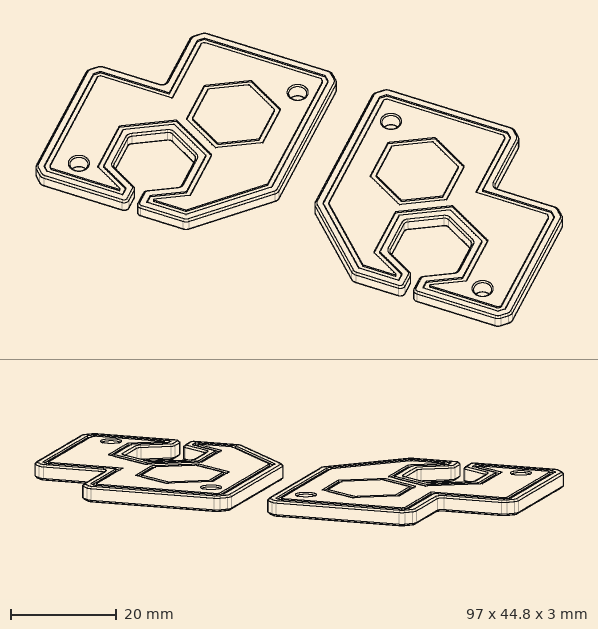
import cadquery as cq
import math

total_width = 97.0
plate_size = 44.8
thickness = 3.0

notch_size = 15.0
corner_bevel = 1.9
long_bevel = 13.3
bevel_radius = 1.5
notch_radius = 1.0

opening_x = 20.4
opening_y = 11.6
opening_flats = 13.8
slot_width = 1.8
opening_radius = 1.0

edge_chamfer = 0.4

groove_width = 1.0
groove_depth = 0.4
groove_inset = 1.6
ring_x = 29.8
ring_y = 27.9
ring_outer_flats = 15.5

hole_diameter = 3.4
hole_chamfer = 0.3
hole_places = [(7.4, 5.6), (39.0, 37.4)]

HEXAGON_ANGLE = math.radians(30)


def hexagon_reach(flats):
    """Distance from the centre of a hexagon to its vertices."""
    return flats / 2 / math.cos(HEXAGON_ANGLE)


slot_left = opening_x - slot_width / 2
slot_right = opening_x + slot_width / 2
notch_y = plate_size - notch_size
opening_half = opening_flats / 2
opening_reach = hexagon_reach(opening_flats)
slot_top = opening_y - opening_reach + slot_width / 2 * math.tan(HEXAGON_ANGLE)

right_corners = [
    (plate_size - long_bevel, 0),
    (plate_size, long_bevel),
    (plate_size, plate_size - corner_bevel),
    (plate_size - corner_bevel, plate_size),
    (notch_size + corner_bevel, plate_size),
    (notch_size, plate_size - corner_bevel),
]
notch_corner = (notch_size, notch_y)
left_corners = [
    (corner_bevel, notch_y),
    (0, notch_y - corner_bevel),
    (0, corner_bevel),
    (corner_bevel, 0),
]
opening_corners = [
    (slot_left, 0),
    (slot_left, slot_top),
    (opening_x - opening_half, opening_y - opening_reach / 2),
    (opening_x - opening_half, opening_y + opening_reach / 2),
    (opening_x, opening_y + opening_reach),
    (opening_x + opening_half, opening_y + opening_reach / 2),
    (opening_x + opening_half, opening_y - opening_reach / 2),
    (slot_right, slot_top),
    (slot_right, 0),
]
outline = right_corners + [notch_corner] + left_corners + opening_corners


def round_corners(plate, corners, radius):
    """Round the vertical edges that stand on the given corners."""
    for x, y in corners:
        nearest = cq.selectors.NearestToPointSelector((x, y, thickness / 2))
        plate = plate.edges("|Z").edges(nearest).fillet(radius)
    return plate


def make_blank():
    """Plate with its notch, bevels, opening and slot, all edges rounded or chamfered."""
    blank = cq.Workplane("XY").polyline(outline).close().extrude(thickness)
    blank = round_corners(blank, right_corners + left_corners, bevel_radius)
    blank = round_corners(blank, [notch_corner], notch_radius)
    blank = round_corners(blank, opening_corners, opening_radius)
    return blank.faces("<Z or >Z").chamfer(edge_chamfer)


def groove_floor():
    return cq.Workplane("XY", origin=(0, 0, thickness - groove_depth))


def inset_outline_block(inset):
    """Block from the groove floor to the top face, inside the outline by the inset."""
    sketch = groove_floor().polyline(outline).close()
    return sketch.offset2D(-inset, "intersection").extrude(groove_depth)


def make_outline_groove():
    return inset_outline_block(groove_inset).cut(inset_outline_block(groove_inset + groove_width))


def hexagon_block(flats):
    """Block from the groove floor to the top face, with two sides parallel to Y."""
    centre = groove_floor().center(ring_x, ring_y).transformed(rotate=(0, 0, 30))
    return centre.polygon(6, 2 * hexagon_reach(flats)).extrude(groove_depth)


def make_ring_groove():
    return hexagon_block(ring_outer_flats).cut(hexagon_block(ring_outer_flats - 2 * groove_width))


def make_plate():
    plate = make_blank()
    plate = plate.cut(make_outline_groove())
    plate = plate.cut(make_ring_groove())
    top = plate.faces(">Z").workplane(origin=(0, 0, thickness))
    countersink_diameter = hole_diameter + 2 * hole_chamfer
    return top.pushPoints(hole_places).cskHole(hole_diameter, countersink_diameter, 90)


plate = make_plate()
left_plate = plate.translate((-total_width / 2, 0, 0))
right_plate = left_plate.mirror("YZ")

result = cq.Compound.makeCompound([left_plate.val(), right_plate.val()])